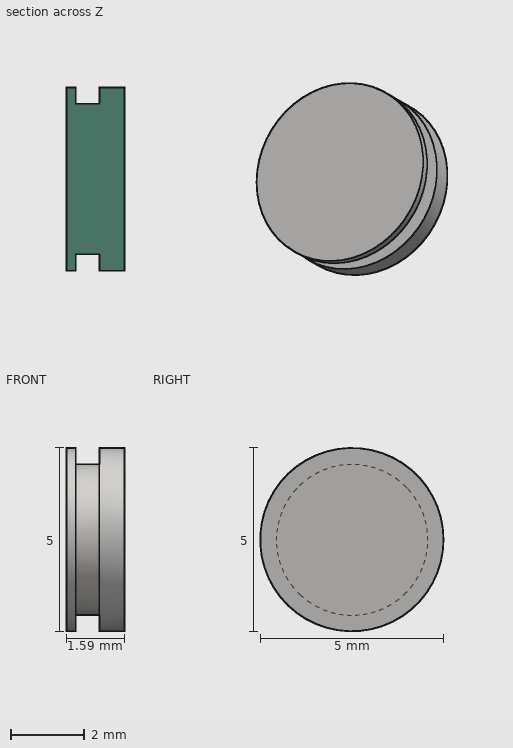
import cadquery as cq

outer_diameter = 5.0
groove_diameter = 4.12
total_width = 1.59
thin_flange_width = 0.26
groove_width = 0.64

left_face = -total_width / 2
groove_start = left_face + thin_flange_width

disc = (
    cq.Workplane("YZ")
    .workplane(offset=left_face)
    .circle(outer_diameter / 2)
    .extrude(total_width)
)

groove_ring = (
    cq.Workplane("YZ")
    .workplane(offset=groove_start)
    .circle(outer_diameter / 2)
    .circle(groove_diameter / 2)
    .extrude(groove_width)
)

result = disc.cut(groove_ring)